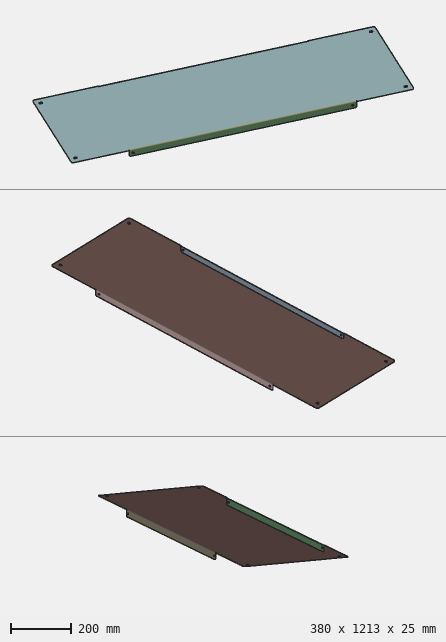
import cadquery as cq

panel_width = 380.0
panel_length = 1213.0
total_height = 25.0
sheet = 1.5
corner_radius = 7.0
bend_radius = 3.4

long_flange_length = 807.0
flange_setback = 33.0
short_flange_length = long_flange_length - 2 * flange_setback
flange_corner_radius = 7.0

panel_slot_width = 7.2
panel_slot_length = 11.0
panel_slot_x = 166.0
panel_slot_y = 585.0
flange_slot_length = 7.2
flange_slot_width = 5.0
flange_slot_drop = 13.0
long_flange_slot_gap = 15.0
short_flange_slot_gap = 11.0

half_width = panel_width / 2


def make_panel():
    """Flat panel with rounded corners and a slot near each corner."""
    panel = cq.Workplane("XY").box(panel_width, panel_length, sheet, centered=(True, True, False))
    panel = panel.edges("|Z").fillet(corner_radius)
    centres = [(x, y) for x in (-panel_slot_x, panel_slot_x) for y in (-panel_slot_y, panel_slot_y)]
    slots = cq.Workplane("XY").pushPoints(centres).slot2D(panel_slot_length, panel_slot_width, 90)
    return panel.cut(slots.extrude(sheet)).translate((0, 0, -sheet))


def make_fold_clearance(length, side):
    """Strip of the panel edge that is replaced by the rounded fold."""
    strip = cq.Workplane("XY").box(bend_radius, length, sheet)
    return strip.translate((side * (half_width - bend_radius / 2), 0, -sheet / 2))


def make_flange(length, slot_gap, side):
    """Fold and hanging flange at the panel edge on the given side (-1 or +1)."""
    outer_x = side * half_width
    inner_x = side * (half_width - sheet)
    fold_x = side * (half_width - bend_radius)
    diagonal = 0.5 ** 0.5
    inner_radius = bend_radius - sheet

    def fold_middle(radius):
        return (fold_x + side * radius * diagonal, -bend_radius + radius * diagonal)

    profile = (
        cq.Workplane("XZ", origin=(0, length / 2, 0))
        .moveTo(fold_x, 0)
        .threePointArc(fold_middle(bend_radius), (outer_x, -bend_radius))
        .lineTo(outer_x, -total_height)
        .lineTo(inner_x, -total_height)
        .lineTo(inner_x, -bend_radius)
        .threePointArc(fold_middle(inner_radius), (fold_x, -sheet))
        .close()
    )
    flange = profile.extrude(length)
    flange = flange.edges("|X and <Z").fillet(flange_corner_radius)

    slot_y = length / 2 - slot_gap
    centres = [(-slot_y, -flange_slot_drop), (slot_y, -flange_slot_drop)]
    slots = cq.Workplane("YZ").pushPoints(centres).slot2D(flange_slot_length, flange_slot_width)
    slots = slots.extrude(sheet, both=True).translate((outer_x, 0, 0))
    return flange.cut(slots)


result = make_panel()
for length, slot_gap, side in (
    (short_flange_length, short_flange_slot_gap, -1),
    (long_flange_length, long_flange_slot_gap, 1),
):
    result = result.cut(make_fold_clearance(length, side))
    result = result.union(make_flange(length, slot_gap, side))